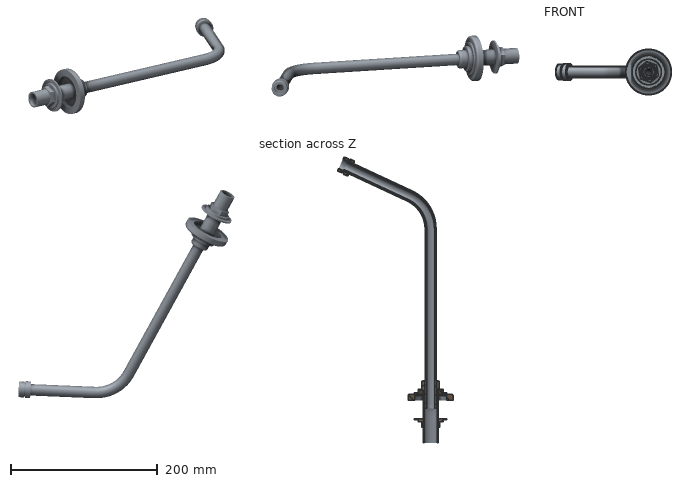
import cadquery as cq
import math


tube_diameter = 15.5
tube_bore = 10.0
tube_start = 47.0
bend_start = 292.3
bend_radius = 49.5
bend_angle = 65.0
arm_length = 104.0

nozzle_length = 16.0
nozzle_diameter = 21.5
nozzle_collar_diameter = 23.0
nozzle_collar_length = 7.0
nozzle_groove_diameter = 19.5
nozzle_groove_width = 1.5
nozzle_tip_round = 1.0
nozzle_mouth_diameter = 13.5
nozzle_mouth_depth = 7.0

escutcheon_diameter = 62.0
escutcheon_thickness = 9.0
escutcheon_start = 57.8
escutcheon_round = 2.7
recess_diameter = 43.0
recess_depth = 6.2

washer_diameter = 45.3
washer_rim_thickness = 2.0
washer_step_diameter = 34.7
washer_step_thickness = 3.0
washer_thickness = washer_rim_thickness + washer_step_thickness
lower_washer_rim_face = 33.5

nut_corner_diameter = 28.5
nut_thickness = 7.0
nut_turn = 40.0
nut_end = lower_washer_rim_face - washer_thickness

shank_diameter = 21.5
shank_bore = 17.0
flange_start = escutcheon_start + escutcheon_thickness + washer_thickness
flange_thickness = 2.0
collar_diameter = 25.0
collar_end = 85.0
collar_round = 2.7


def cylinder(diameter, start, length):
    """Solid cylinder along the shank axis, from Y = start towards +Y."""
    plane = cq.Workplane("XZ", origin=(0, start, 0))
    return plane.circle(diameter / 2).extrude(-length)


def make_shank():
    body = cylinder(shank_diameter, 0, flange_start)
    flange = cylinder(washer_step_diameter, flange_start, flange_thickness)
    collar = cylinder(collar_diameter, flange_start, collar_end - flange_start)
    collar = collar.faces(">Y").edges().fillet(collar_round)
    bore = cylinder(shank_bore, 0, tube_start)
    tube_socket = cylinder(tube_diameter, tube_start, collar_end - tube_start)
    return body.union(flange).union(collar).cut(bore).cut(tube_socket)


def make_escutcheon():
    disc = cylinder(escutcheon_diameter, escutcheon_start, escutcheon_thickness)
    disc = disc.faces(">Y").edges().fillet(escutcheon_round)
    recess = cylinder(recess_diameter, escutcheon_start, recess_depth)
    shank_hole = cylinder(shank_diameter, escutcheon_start, escutcheon_thickness)
    return disc.cut(recess).cut(shank_hole)


def make_washer(rim_face, step_direction):
    """Washer with its flat rim face at Y = rim_face and its step towards step_direction."""
    rim = cylinder(washer_diameter, rim_face, step_direction * washer_rim_thickness)
    step = cylinder(washer_step_diameter, rim_face, step_direction * washer_thickness)
    hole = cylinder(shank_diameter, rim_face, step_direction * washer_thickness)
    return rim.union(step).cut(hole)


def make_nut():
    corner_radius = nut_corner_diameter / 2
    corners = []
    for index in range(6):
        angle = math.radians(nut_turn + 60 * index)
        corners.append((corner_radius * math.cos(angle), corner_radius * math.sin(angle)))
    hexagon = cq.Workplane("XZ", origin=(0, nut_end, 0)).polyline(corners).close().extrude(nut_thickness)
    return hexagon.cut(cylinder(shank_diameter, nut_end - nut_thickness, nut_thickness))


bend_turn = math.radians(bend_angle)
arm_direction = cq.Vector(-math.sin(bend_turn), math.cos(bend_turn), 0)
bend_centre = cq.Vector(-bend_radius, bend_start, 0)
bend_middle = bend_centre + cq.Vector(math.cos(bend_turn / 2), math.sin(bend_turn / 2), 0) * bend_radius
bend_end = bend_centre + cq.Vector(math.cos(bend_turn), math.sin(bend_turn), 0) * bend_radius
tube_end = bend_end + arm_direction * (arm_length - nozzle_mouth_depth)
outlet_centre = bend_end + arm_direction * arm_length


def make_spout():
    path = (
        cq.Workplane("XY")
        .moveTo(0, tube_start)
        .lineTo(0, bend_start)
        .threePointArc(bend_middle.toTuple()[:2], bend_end.toTuple()[:2])
        .lineTo(tube_end.x, tube_end.y)
    )
    section = cq.Workplane("XZ", origin=(0, tube_start, 0)).circle(tube_diameter / 2).circle(tube_bore / 2)
    return section.sweep(path)


def make_nozzle():
    def along_arm(diameter, depth, length):
        """Cylinder from a depth behind the outlet face, back towards the bend."""
        plane = cq.Plane(origin=outlet_centre - arm_direction * depth, xDir=(0, 0, 1), normal=-arm_direction)
        return cq.Workplane(plane).circle(diameter / 2).extrude(length)

    collar_depth = nozzle_length - nozzle_collar_length
    groove_depth = collar_depth - nozzle_groove_width
    tip = along_arm(nozzle_diameter, 0, groove_depth)
    tip = tip.faces(cq.selectors.DirectionMinMaxSelector(arm_direction)).edges().fillet(nozzle_tip_round)
    groove = along_arm(nozzle_groove_diameter, groove_depth, nozzle_groove_width)
    collar = along_arm(nozzle_collar_diameter, collar_depth, nozzle_collar_length)
    mouth = along_arm(nozzle_mouth_diameter, 0, nozzle_mouth_depth)
    tube_socket = along_arm(tube_diameter, nozzle_mouth_depth, nozzle_length - nozzle_mouth_depth)
    return tip.union(groove).union(collar).cut(mouth).cut(tube_socket)


shank = make_shank()
escutcheon = make_escutcheon()
nut = make_nut()
spout = make_spout()
nozzle = make_nozzle()

washer_places = [(escutcheon_start + escutcheon_thickness, 1), (lower_washer_rim_face, -1)]
washers = [make_washer(rim_face, step_direction) for rim_face, step_direction in washer_places]

result = cq.Compound.makeCompound(
    [shank.val(), escutcheon.val(), nut.val(), spout.val(), nozzle.val(), *[washer.val() for washer in washers]]
)